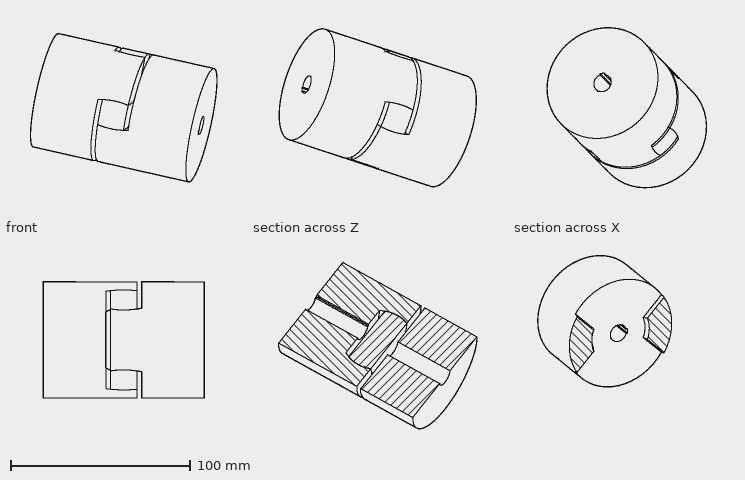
import cadquery as cq
import math

LENGTH = 90.0
RADIUS = 32.5
HUB_BODY = 35.0
CLEARANCE = 2.5
BORE_RADIUS = 5.0
KEY_WIDTH = 2.6
KEY_TOP = 5.8

LEG_ANGLE = 45.0
LEG_HALF_WIDTH_MID = 7.9
LEG_HALF_WIDTH_END = 6.7
BALL_RADIUS = 19.5

HALF_SPAN = LENGTH / 2 - HUB_BODY
HALF_SPIDER = HALF_SPAN - CLEARANCE
MARGIN = 2 * RADIUS


def cylinder(x_start, x_end, radius):
    return cq.Workplane("YZ", origin=(x_start, 0, 0)).circle(radius).extrude(x_end - x_start)


def flank_space(side):
    """Space beyond one curved jaw flank; side is +1 or -1 for its lean in Y."""
    lean = math.radians(LEG_ANGLE)
    along = (0, side * math.sin(lean), math.cos(lean))
    plane = cq.Plane(origin=(0, 0, 0), xDir=(side, 0, 0), normal=along)
    return (
        cq.Workplane(plane)
        .moveTo(-HALF_SPAN, LEG_HALF_WIDTH_END)
        .threePointArc((0, LEG_HALF_WIDTH_MID), (HALF_SPAN, LEG_HALF_WIDTH_END))
        .lineTo(HALF_SPAN, MARGIN)
        .lineTo(-HALF_SPAN, MARGIN)
        .close()
        .extrude(MARGIN, both=True)
    )


def jaw_space(angle):
    """Full-span jaw with curved flanks and a spherical inner face, turned about X from +Z."""
    wedge = flank_space(1).intersect(flank_space(-1))
    wedge = wedge.intersect(cylinder(-HALF_SPAN, HALF_SPAN, RADIUS))
    jaw = wedge.cut(cq.Workplane("XY").sphere(BALL_RADIUS))
    return jaw.rotate((0, 0, 0), (1, 0, 0), angle)


def make_left_hub():
    hub = cylinder(-LENGTH / 2, HALF_SPIDER, RADIUS)
    jaw_gap = cylinder(-HALF_SPAN, HALF_SPIDER, RADIUS)
    for angle in (0, 180):
        jaw_gap = jaw_gap.cut(jaw_space(angle))
    hub = hub.cut(jaw_gap)
    bore = cylinder(-LENGTH / 2, -HALF_SPAN, BORE_RADIUS)
    keyway = (
        cq.Workplane("YZ", origin=(-LENGTH / 2, 0, 0))
        .center(0, KEY_TOP / 2)
        .rect(KEY_WIDTH, KEY_TOP)
        .extrude(HUB_BODY)
    )
    return hub.cut(bore).cut(keyway)


def make_right_hub():
    """The left hub turned end for end, with its jaws a quarter turn away."""
    turned = make_left_hub().rotate((0, 0, 0), (0, 0, 1), 180)
    return turned.rotate((0, 0, 0), (1, 0, 0), 90)


def make_spider():
    """Ball-cored disc whose four barrel-sided legs fill the spaces between the jaws."""
    spider = cylinder(-HALF_SPIDER, HALF_SPIDER, RADIUS)
    for angle in (0, 90, 180, 270):
        spider = spider.cut(jaw_space(angle))
    return spider


left_hub = make_left_hub()
right_hub = make_right_hub()
spider = make_spider()

result = cq.Compound.makeCompound([left_hub.val(), right_hub.val(), spider.val()])